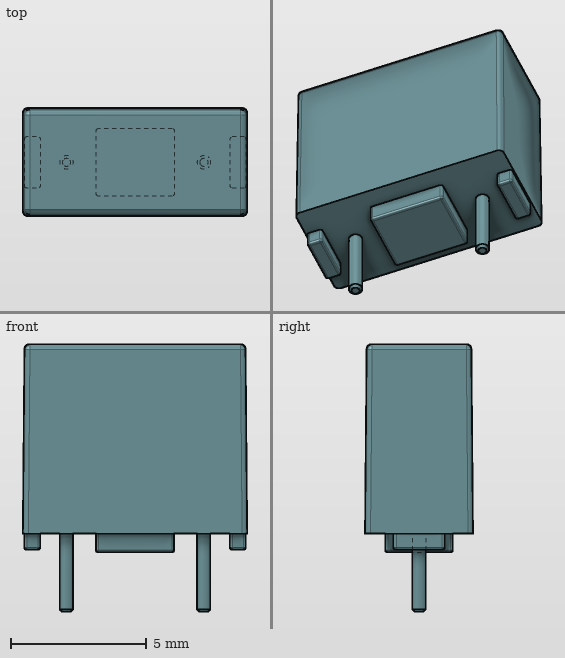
import cadquery as cq

body_length = 8.3
body_width = 4.0
body_height = 7.0
draft_angle = 0.5
body_fillet = 0.2

pad_fillet = 0.1
center_pad_length = 2.9
center_pad_width = 2.5
center_pad_height = 0.7
foot_length = 0.6
foot_width = 1.9
foot_height = 0.6
foot_inset = 0.05
foot_center_x = body_length / 2 - foot_inset - foot_length / 2

pin_diameter = 0.5
pin_pitch = 5.08
pin_length = 2.9
pin_chamfer = 0.1


def make_body():
    """Drafted box with every edge rounded except those of the bottom face."""
    box = cq.Workplane("XY").rect(body_length, body_width).extrude(body_height, taper=draft_angle)
    return box.edges("not <Z").fillet(body_fillet)


def make_pad(center_x, length, width, height):
    """Block hanging from the bottom face, rounded on its sides and lower rim."""
    block = cq.Workplane("XY").center(center_x, 0).rect(length, width).extrude(-height)
    return block.edges("not >Z").fillet(pad_fillet)


def make_pin(center_x):
    """Round pin pointing down, with a chamfered tip."""
    pin = cq.Workplane("XY").center(center_x, 0).circle(pin_diameter / 2).extrude(-pin_length)
    return pin.faces("<Z").chamfer(pin_chamfer)


result = make_body().union(make_pad(0, center_pad_length, center_pad_width, center_pad_height))
for side in (-1, 1):
    result = result.union(make_pad(side * foot_center_x, foot_length, foot_width, foot_height))
    result = result.union(make_pin(side * pin_pitch / 2))